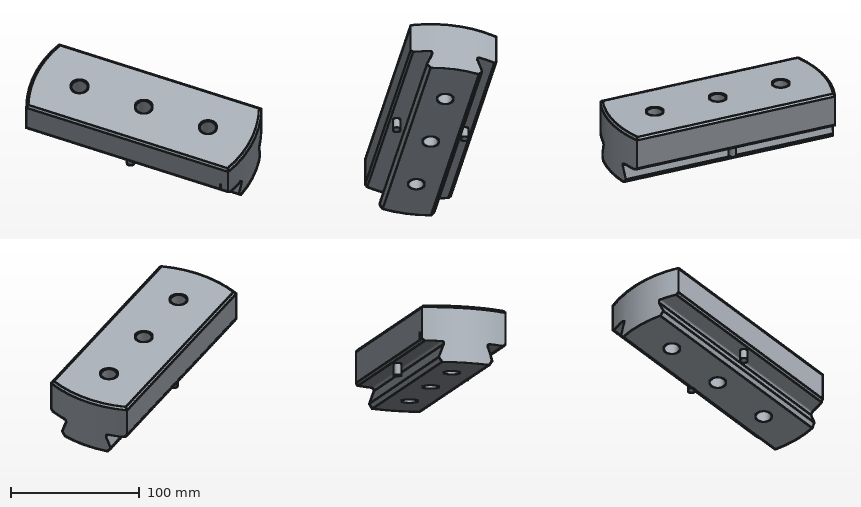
import cadquery as cq

length = 182.5
width = 68.0
height = 45.0
end_radius = length / 2
edge_chamfer = 1.8

ledge_z = 16.6
rail_width = 43.8
rail_edge_z = 3.7
rail_foot_width = 38.3
neck_width = 35.8
neck_z = 14.2
neck_fillet = 2.0

hole_diameter = 12.8
hole_chamfer = 0.5
hole_pitch = 53.8

pin_diameter = 6.0
pin_offset = 27.0
pin_end_z = 7.3

mark_x = 78.1
mark_width = 0.5
mark_depth = 0.2
mark_top_z = 24.5


def make_profile_bar():
    """Dovetail cross-section extruded along X."""
    half_width = width / 2
    half_neck = neck_width / 2
    right_side = [
        (rail_foot_width / 2, 0),
        (rail_width / 2, rail_edge_z),
        (half_neck, neck_z),
        (half_neck, ledge_z),
        (half_width - edge_chamfer, ledge_z),
        (half_width, ledge_z + edge_chamfer),
        (half_width, height),
    ]
    left_side = [(-y, z) for y, z in reversed(right_side)]
    bar = cq.Workplane("YZ").polyline(right_side + left_side).close().extrude(length / 2, both=True)
    corners = cq.selectors.BoxSelector(
        (-length, -half_neck - neck_fillet, ledge_z - neck_fillet),
        (length, half_neck + neck_fillet, ledge_z + neck_fillet),
    )
    return bar.edges("|X").edges(corners).fillet(neck_fillet)


def make_body():
    """Bar with both ends rounded about the Z axis and its top rim chamfered."""
    round_ends = cq.Workplane("XY").circle(end_radius).extrude(height)
    return make_profile_bar().intersect(round_ends).faces(">Z").chamfer(edge_chamfer)


def make_holes():
    """Three through-hole cutters that flare out at the top rim."""
    centers = [(-hole_pitch, 0), (0, 0), (hole_pitch, 0)]
    radius = hole_diameter / 2
    rim_radius = radius + hole_chamfer
    outline = [(0, 0), (radius, 0), (radius, height - hole_chamfer), (rim_radius, height), (0, height)]
    cutter = cq.Workplane("XZ").polyline(outline).close().revolve(360, (0, 0, 0), (0, 1, 0)).val()
    return cq.Workplane("XY").pushPoints(centers).eachpoint(cutter)


def make_pins():
    centers = [(0, -pin_offset), (0, pin_offset)]
    pin_length = ledge_z + edge_chamfer - pin_end_z
    pins = cq.Workplane("XY", origin=(0, 0, pin_end_z)).pushPoints(centers)
    return pins.circle(pin_diameter / 2).extrude(pin_length)


def make_index_mark():
    mark_height = mark_top_z - ledge_z
    mark = cq.Workplane("XY").box(mark_width, 2 * mark_depth, mark_height)
    return mark.translate((mark_x, -width / 2, ledge_z + mark_height / 2))


result = make_body().cut(make_holes()).union(make_pins()).cut(make_index_mark())